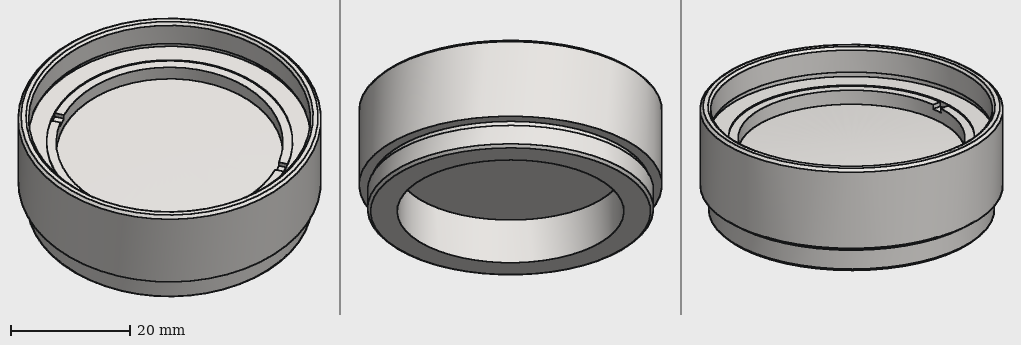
import cadquery as cq
import math

outer_radius = 25.4
total_height = 19.5
spigot_radius = 24.0
spigot_height = 5.0
relief_width = 1.0
outer_relief_radius = 23.45
edge_chamfer = 0.5

socket_radius = 23.6
socket_depth = 5.55
inner_relief_radius = 24.1
socket_chamfer = inner_relief_radius - socket_radius
bore_radius = 20.6
aperture_radius = 19.0
socket_floor = total_height - socket_depth

ring_recess = 0.2
ring_height = 2.6
slot_width = 2.0
slot_depth = 0.8
ring_top = socket_floor - ring_recess
ring_bottom = ring_top - ring_height

dome_radius = 304.8
lens_edge_height = 3.05


def dome_height(radius):
    """Height of the dome surface at a radius, measured from its sphere centre."""
    return math.sqrt(dome_radius**2 - radius**2)


dome_centre = ring_bottom - dome_height(aperture_radius)
lens_crown = dome_centre + dome_radius
lens_edge_top = dome_centre + dome_height(bore_radius)
lens_seat = lens_edge_top - lens_edge_height


def make_housing():
    relief_top = spigot_height
    relief_bottom = relief_top - relief_width
    inner_relief_top = socket_floor + relief_width
    profile = [
        (aperture_radius, 0),
        (spigot_radius - edge_chamfer, 0),
        (spigot_radius, edge_chamfer),
        (spigot_radius, relief_bottom),
        (outer_relief_radius, relief_bottom),
        (outer_relief_radius, relief_top),
        (outer_radius, relief_top),
        (outer_radius, total_height - edge_chamfer),
        (outer_radius - edge_chamfer, total_height),
        (socket_radius + socket_chamfer, total_height),
        (socket_radius, total_height - socket_chamfer),
        (socket_radius, inner_relief_top),
        (inner_relief_radius, inner_relief_top),
        (inner_relief_radius, socket_floor),
        (bore_radius, socket_floor),
        (bore_radius, lens_seat),
        (aperture_radius, lens_seat),
    ]
    return cq.Workplane("XZ").polyline(profile).close().revolve(360, (0, 0), (0, 1))


def make_retaining_ring():
    ring = (
        cq.Workplane("XY", origin=(0, 0, ring_bottom))
        .circle(bore_radius)
        .circle(aperture_radius)
        .extrude(ring_height)
    )
    slot_bar = cq.Workplane("XY", origin=(0, 0, ring_top - slot_depth)).rect(
        2 * outer_radius, slot_width
    ).extrude(slot_depth)
    return ring.cut(slot_bar)


def make_lens():
    mid_radius = bore_radius / 2
    return (
        cq.Workplane("XZ")
        .moveTo(0, lens_seat)
        .lineTo(bore_radius, lens_seat)
        .lineTo(bore_radius, lens_edge_top)
        .threePointArc((mid_radius, dome_centre + dome_height(mid_radius)), (0, lens_crown))
        .close()
        .revolve(360, (0, 0), (0, 1))
    )


housing = make_housing()
retaining_ring = make_retaining_ring()
lens = make_lens()

result = cq.Compound.makeCompound([housing.val(), retaining_ring.val(), lens.val()])